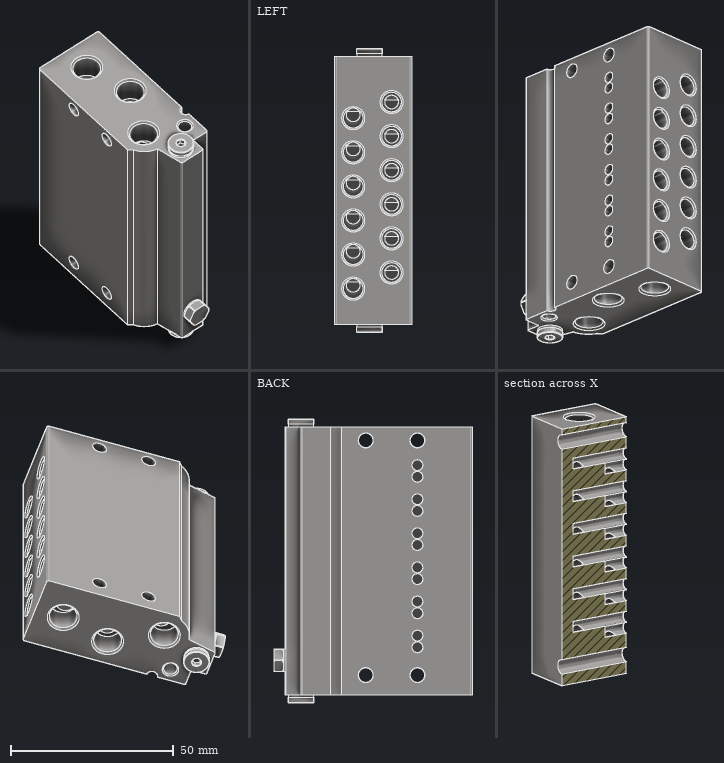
import cadquery as cq
import math


total_width = 61.2
total_height = 87.5
depth = 23.9
plug_height = 2.45
housing_height = total_height - 2 * plug_height

housing_width = 57.75
shoulder_x = 52.85
ledge_y = 18.1
rail_front_y = 9.45
rail_root = (48.5, 7.35)
bevel_start_x = 43.0
bevel_end = (44.1, 1.4)
boss_radius = 7.7
edge_radius = 0.6
rail_edge_radius = 0.4

groove_x = 42.0
groove_diameter = 3.4
groove_depth = 1.6

gallery_diameter = 5.95
end_bore_diameter = 8.6
end_bore_depth = 8.75
end_bore_chamfer = 0.6
gallery_centres = [(10.0, 12.1), (24.85, 16.0), (39.7, 8.2)]
end_bore_centres = [(9.1, 11.7), (24.9, 16.0), (40.8, 8.2)]

pilot_centre = (46.6, 19.9)
pilot_diameter = 4.2
pilot_chamfer = 0.4

mount_diameter = 4.5
mount_x = (17.0, 32.9)
mount_z = (6.1, housing_height - 4.2)

port_count = 6
port_pitch = 10.5
port_diameter = 6.0
port_depth = 7.9
port_chamfer = 0.5
feed_diameter = 4.2
valve_hole_diameter = 3.3
valve_hole_x = 17.0
front_column_y = 6.3
front_column_z = 16.0
front_feed_rise = 0.0
front_valve_rise = 0.6
rear_column_y = 18.1
rear_column_z = 11.0
rear_feed_rise = 1.05
rear_valve_rise = 2.0

plug_centre = (52.85, 13.1)
plug_diameter = 8.0
plug_edge = 0.2
plug_neck_diameter = 7.8
plug_neck_height = 0.8
socket_across_flats = 2.6
socket_depth = 1.75

fitting_y = 13.7
fitting_z = 10.7
collar_diameter = 7.0
collar_length = 0.5
hex_across_flats = 7.0
hex_length = total_width - housing_width - collar_length
hex_turned_diameter = 8.0
hex_edge = 0.3


def across_corners(across_flats):
    return across_flats / math.cos(math.pi / 6)


def hole_x(y, z, diameter, end_x):
    """Blind hole from the left face."""
    return cq.Workplane("YZ").center(y, z).circle(diameter / 2).extrude(end_x)


def hole_z(centre, diameter, start_z, end_z):
    """Vertical hole between two heights."""
    return (
        cq.Workplane("XY").workplane(offset=start_z).center(*centre)
        .circle(diameter / 2).extrude(end_z - start_z)
    )


def hole_y(x, z, diameter, start_y):
    """Hole from start_y through the rear face."""
    length = depth - start_y
    return (
        cq.Workplane("XZ", origin=(0, start_y, 0)).center(x, z)
        .circle(diameter / 2).extrude(-length)
    )


def mouth(origin, inward, diameter, size):
    """45 degree countersink around a hole of the given diameter."""
    outer_radius = diameter / 2 + size
    return cq.Workplane(
        cq.Solid.makeCone(outer_radius, diameter / 2, size, cq.Vector(*origin), cq.Vector(*inward))
    )


def end_mouths(centre, diameter, size):
    """Countersinks at the bottom and top faces of the housing."""
    bottom = mouth((*centre, 0), (0, 0, 1), diameter, size)
    top = mouth((*centre, housing_height), (0, 0, -1), diameter, size)
    return bottom.add(top).combine()


def make_body():
    """Housing block with its rail, rounded corner and edge fillets, before drilling."""
    body = (
        cq.Workplane("XY")
        .lineTo(bevel_start_x, 0)
        .lineTo(*bevel_end)
        .radiusArc(rail_root, -boss_radius)
        .lineTo(housing_width, rail_front_y)
        .lineTo(housing_width, ledge_y)
        .lineTo(shoulder_x, ledge_y)
        .lineTo(shoulder_x, depth)
        .lineTo(0, depth)
        .close()
        .extrude(housing_height)
    )
    body = body.edges("|Z and <X").fillet(edge_radius)
    shoulder_edge = cq.selectors.NearestToPointSelector((shoulder_x, depth, housing_height / 2))
    body = body.edges(shoulder_edge).fillet(rail_edge_radius)
    return body.edges("|Z and >X").fillet(rail_edge_radius)


def cut_groove(body):
    axis_y = depth + groove_diameter / 2 - groove_depth
    return body.cut(hole_z((groove_x, axis_y), groove_diameter, 0, housing_height))


def cut_vertical_holes(body):
    for gallery, end_bore in zip(gallery_centres, end_bore_centres):
        body = body.cut(hole_z(gallery, gallery_diameter, 0, housing_height))
        body = body.cut(hole_z(end_bore, end_bore_diameter, 0, end_bore_depth))
        body = body.cut(
            hole_z(end_bore, end_bore_diameter, housing_height - end_bore_depth, housing_height)
        )
        body = body.cut(end_mouths(end_bore, end_bore_diameter, end_bore_chamfer))
    body = body.cut(hole_z(pilot_centre, pilot_diameter, 0, housing_height))
    return body.cut(end_mouths(pilot_centre, pilot_diameter, pilot_chamfer))


def cut_mounting_holes(body):
    for x in mount_x:
        for z in mount_z:
            body = body.cut(hole_y(x, z, mount_diameter, 0))
    return body


def cut_port_column(body, y, lowest_z, feed_rise, valve_rise):
    """Column of left-face ports, each led through a feed hole to a hole in the rear face."""
    for index in range(port_count):
        z = lowest_z + index * port_pitch
        valve_z = z + valve_rise + valve_hole_diameter / 2
        body = body.cut(hole_x(y, z, port_diameter, port_depth))
        body = body.cut(mouth((0, y, z), (1, 0, 0), port_diameter, port_chamfer))
        body = body.cut(hole_x(y, z + feed_rise, feed_diameter, valve_hole_x))
        body = body.cut(hole_y(valve_hole_x, valve_z, valve_hole_diameter, y - feed_diameter / 2))
    return body


def make_housing():
    housing = cut_groove(make_body())
    housing = cut_vertical_holes(housing)
    housing = cut_mounting_holes(housing)
    housing = cut_port_column(
        housing, front_column_y, front_column_z, front_feed_rise, front_valve_rise
    )
    return cut_port_column(housing, rear_column_y, rear_column_z, rear_feed_rise, rear_valve_rise)


def make_plug():
    """Plug standing on z = 0 with a hexagon socket in its outer end."""
    radius = plug_diameter / 2
    plug = (
        cq.Workplane("XZ")
        .lineTo(plug_neck_diameter / 2, 0)
        .lineTo(plug_neck_diameter / 2, plug_neck_height)
        .lineTo(radius, plug_neck_height)
        .lineTo(radius, plug_height - plug_edge)
        .lineTo(radius - plug_edge, plug_height)
        .lineTo(0, plug_height)
        .close()
        .revolve(360, (0, 0, 0), (0, 1, 0))
    )
    socket = (
        cq.Workplane("XY").workplane(offset=plug_height - socket_depth)
        .polygon(6, across_corners(socket_across_flats)).extrude(socket_depth)
        .rotate((0, 0, 0), (0, 0, 1), 90)
    )
    corner_radius = across_corners(socket_across_flats) / 2
    countersink = cq.Workplane(
        cq.Solid.makeCone(0, corner_radius, corner_radius)
    ).translate((0, 0, plug_height - corner_radius))
    return plug.cut(socket).cut(countersink)


def make_plugs():
    """One plug on the top face and its mirror image on the bottom face."""
    plug = make_plug()
    plugs = []
    for seated_plug, z in ((plug, housing_height), (plug.mirror("XY"), 0)):
        plugs.append(seated_plug.translate((*plug_centre, z)))
    return plugs


def make_fitting():
    """Round collar against the rail with a hexagon whose corners are turned back at both ends."""
    hexagon = cq.Workplane("XY").polygon(6, across_corners(hex_across_flats)).extrude(hex_length)
    turned_blank = (
        cq.Workplane("XY").circle(hex_turned_diameter / 2).extrude(hex_length)
        .edges().chamfer(hex_edge)
    )
    hexagon = hexagon.intersect(turned_blank)
    collar = cq.Workplane("XY").circle(collar_diameter / 2).extrude(-collar_length)
    fitting = hexagon.union(collar)
    fitting = fitting.rotate((0, 0, 0), (0, 0, 1), 90).rotate((0, 0, 0), (0, 1, 0), 90)
    return fitting.translate((housing_width + collar_length, fitting_y, fitting_z))


housing = make_housing()
plugs = make_plugs()
fitting = make_fitting()

result = cq.Compound.makeCompound([housing.val(), *[plug.val() for plug in plugs], fitting.val()])